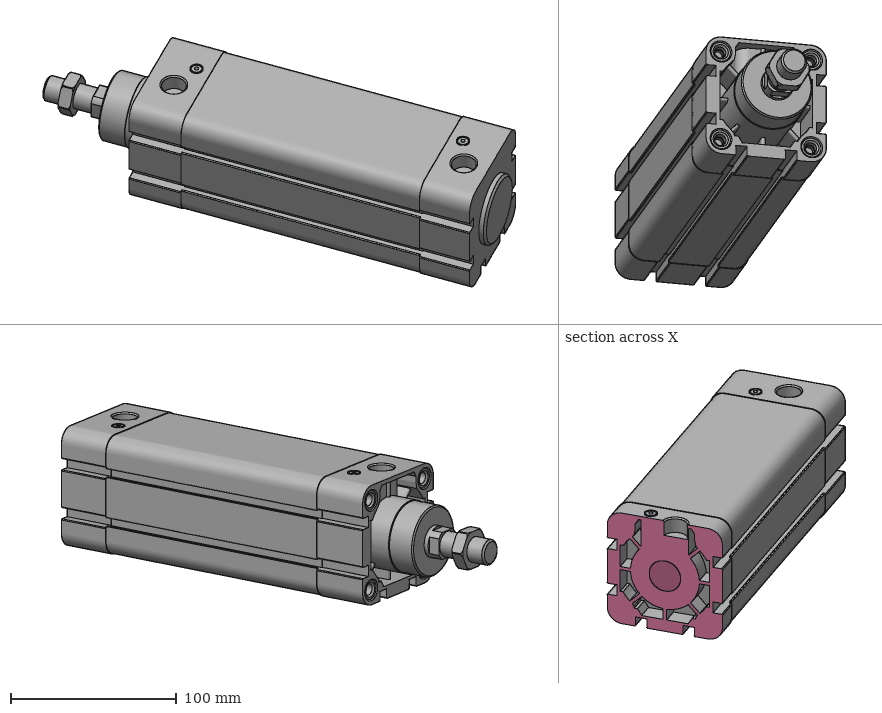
import cadquery as cq
import math


nut_start = 12.0
nut_thickness = 8.0
thread_end = 32.0
flats_end = 39.0
collar_start = 42.0
collar_step = 59.0
head_start = 68.2
head_end = 102.0
rear_cap_start = 257.0
rear_cap_end = 289.5
total_length = 294.0

cap_width = 75.0
cap_height = 75.3
cap_corner_radius = 9.7
tube_inset = 0.45
cap_top = cap_height / 2

collar_diameter = 45.0
collar_nose_diameter = 44.0
collar_chamfer = 1.0
rear_collar_chamfer = 1.5
step_chamfer = (collar_diameter - collar_nose_diameter) / 2

slot_offset = 15.44
cap_slot_width = 7.0
cap_slot_depth = 6.2
cap_slot_chamfer = 0.5
tube_slot_depth = 5.5
tube_slot_mouth = 5.5
tube_slot_lip = 1.8

recess_depth = 29.5
recess_side = 28.8
recess_side_half_length = 15.5
recess_bottom = -29.5
recess_top = 35.0
recess_top_half_width = 17.0
port_block_half_width = 15.5
port_block_start = 75.9
port_block_radius = 8.0
rib_thickness = 2.5
rib_start = 74.0
rib_count = 8

corner_screw_offset = 28.2
screw_seat_diameter = 13.5
screw_seat_floor_diameter = 12.0
screw_seat_depth = 0.74
screw_bore_mouth_diameter = 9.5
screw_bore_diameter = 7.0
screw_bore_depth = 6.0
screw_core_diameter = 6.0
screw_core_depth = 8.8

port_y = -7.0
head_port_x = 85.3
rear_port_x = 273.7
port_diameter = 15.0
port_chamfer = 1.0
port_depth = 10.0
cushion_screw_y = 11.5
head_cushion_screw_x = 92.5
rear_cushion_screw_x = 265.8
cushion_ring_diameter = 8.0
cushion_screw_diameter = 6.8
cushion_ring_depth = 0.5
cushion_socket_diameter = 2.5
cushion_socket_depth = 1.8

rod_diameter = 20.0
rod_flat_width = 17.0
thread_diameter = 16.0
thread_chamfer = 1.2
nut_flat_width = 23.2
nut_rounding_diameter = 26.5
nut_chamfer = 1.0


def yz_plane(x):
    """Sketch plane facing +X at the given X, with local axes Y and Z."""
    return cq.Workplane("YZ", origin=(x, 0, 0))


def rod_along_x(diameter, start, end):
    return yz_plane(start).circle(diameter / 2).extrude(end - start)


def rounded_bar(width, height, corner_radius, start, end):
    bar = yz_plane(start).rect(width, height).extrude(end - start)
    return bar.edges("|X").fillet(corner_radius)


def cut_slots(bar, profile, start, end):
    """Cut a slot profile, given as (across, depth) points, into the -Y, +Y and -Z sides of a bar.

    Depth 0 is on the nominal cap side.
    """
    sides = ((-90, cap_width / 2), (90, cap_width / 2), (180, cap_height / 2))
    for angle, face_distance in sides:
        for offset in (-slot_offset, slot_offset):
            points = [(offset + across, face_distance - depth) for across, depth in profile]
            slot = yz_plane(start).polyline(points).close().extrude(end - start)
            bar = bar.cut(slot.rotate((0, 0, 0), (1, 0, 0), angle))
    return bar


def cap_slot_profile():
    half = cap_slot_width / 2
    mouth = half + cap_slot_chamfer
    return [
        (-mouth, 0), (-half, cap_slot_chamfer), (-half, cap_slot_depth),
        (half, cap_slot_depth), (half, cap_slot_chamfer), (mouth, 0),
    ]


def tube_slot_profile():
    half = cap_slot_width / 2
    mouth = tube_slot_mouth / 2
    return [
        (-mouth, 0), (-mouth, tube_slot_lip), (-half, tube_slot_lip), (-half, tube_slot_depth),
        (half, tube_slot_depth), (half, tube_slot_lip), (mouth, tube_slot_lip), (mouth, 0),
    ]


def make_cap(start, end):
    cap = rounded_bar(cap_width, cap_height, cap_corner_radius, start, end)
    return cut_slots(cap, cap_slot_profile(), start, end)


def make_tube():
    width = cap_width - 2 * tube_inset
    height = cap_height - 2 * tube_inset
    radius = cap_corner_radius - tube_inset
    tube = rounded_bar(width, height, radius, head_end, rear_cap_start)
    return cut_slots(tube, tube_slot_profile(), head_end, rear_cap_start)


def head_recess():
    """Pocket that leaves a wall around the head and material around the corner screws."""
    right_side = [
        (15.0, recess_bottom), (17.5, -25.3), (19.7, -25.3), (20.0, -23.8), (24.7, -18.8),
        (27.0, -recess_side_half_length), (recess_side, -recess_side_half_length),
        (recess_side, recess_side_half_length), (27.0, recess_side_half_length), (24.7, 18.8), (20.0, 23.8),
        (19.0, 27.5), (19.0, 31.8), (recess_top_half_width, recess_top),
    ]
    left_side = [(-y, z) for y, z in reversed(right_side)]
    return yz_plane(head_start).polyline(right_side + left_side).close().extrude(recess_depth)


def port_block():
    """Block under the head's top wall that gives the air port its material."""
    floor = head_start + recess_depth
    block = (
        cq.Workplane("XY")
        .box(floor - port_block_start, 2 * port_block_half_width, recess_top, centered=(False, True, False))
        .translate((port_block_start, 0, 0))
    )
    return block.edges("|Z and <X").fillet(port_block_radius)


def radial_rib(angle):
    """Rib with a round front edge, running outward from the axis at an angle from +Y toward +Z."""
    radius = rib_thickness / 2
    floor = head_start + recess_depth
    rib = (
        cq.Workplane("XZ")
        .moveTo(floor, -radius)
        .lineTo(rib_start + radius, -radius)
        .threePointArc((rib_start, 0), (rib_start + radius, radius))
        .lineTo(floor, radius)
        .close()
        .extrude(-recess_top)
    )
    return rib.rotate((0, 0, 0), (1, 0, 0), angle)


def recess_ribs():
    """Evenly spaced ribs in the recess; the one pointing up crosses the front of the port block."""
    ribs = cq.Workplane("XY")
    for index in range(rib_count):
        ribs = ribs.union(radial_rib(index * 360 / rib_count))
    return ribs


def corner_screw_hole(y, z):
    seat_radius = screw_seat_diameter / 2
    seat_floor_radius = screw_seat_floor_diameter / 2
    mouth_radius = screw_bore_mouth_diameter / 2
    bore_radius = screw_bore_diameter / 2
    core_radius = screw_core_diameter / 2
    bore_chamfer = mouth_radius - bore_radius
    profile = [
        (0, 0), (0, seat_radius), (screw_seat_depth, seat_floor_radius),
        (screw_seat_depth, mouth_radius), (screw_seat_depth + bore_chamfer, bore_radius),
        (screw_bore_depth, bore_radius), (screw_bore_depth, core_radius),
        (screw_core_depth, core_radius), (screw_core_depth, 0),
    ]
    hole = cq.Workplane("XY").polyline(profile).close().revolve(360, (0, 0, 0), (1, 0, 0))
    return hole.translate((head_start, y, z))


def top_plane(x, y):
    return cq.Workplane("XY", origin=(x, y, cap_top))


def port_hole(x):
    bore = top_plane(x, port_y).circle(port_diameter / 2).extrude(-port_depth)
    mouth = cq.Workplane(
        cq.Solid.makeCone(
            port_diameter / 2, port_diameter / 2 + port_chamfer, port_chamfer,
            cq.Vector(x, port_y, cap_top - port_chamfer),
        )
    )
    return bore.union(mouth)


def cushion_screw_cut(x):
    ring = (
        top_plane(x, cushion_screw_y)
        .circle(cushion_ring_diameter / 2)
        .circle(cushion_screw_diameter / 2)
        .extrude(-cushion_ring_depth)
    )
    socket = cq.Workplane(
        cq.Solid.makeCone(
            0, cushion_socket_diameter / 2, cushion_socket_depth,
            cq.Vector(x, cushion_screw_y, cap_top - cushion_socket_depth),
        )
    )
    return ring.union(socket)


def front_collar():
    """Stepped collar around the rod, with chamfers on its nose and on its step."""
    nose_radius = collar_nose_diameter / 2
    radius = collar_diameter / 2
    profile = [
        (collar_start, 0), (collar_start, nose_radius - collar_chamfer),
        (collar_start + collar_chamfer, nose_radius), (collar_step, nose_radius),
        (collar_step + step_chamfer, radius), (head_end, radius), (head_end, 0),
    ]
    return cq.Workplane("XY").polyline(profile).close().revolve(360, (0, 0, 0), (1, 0, 0))


def make_head():
    recess = head_recess()
    head = make_cap(head_start, head_end).cut(recess)
    ribs = recess_ribs().intersect(recess)
    head = head.union(port_block()).union(ribs)
    for y in (-corner_screw_offset, corner_screw_offset):
        for z in (-corner_screw_offset, corner_screw_offset):
            head = head.cut(corner_screw_hole(y, z))
    return head.union(front_collar())


def make_rear_cap():
    cap = make_cap(rear_cap_start, rear_cap_end)
    collar = rod_along_x(collar_diameter, rear_cap_start, total_length)
    return cap.union(collar.faces(">X").chamfer(rear_collar_chamfer))


def make_housing():
    housing = make_head().union(make_tube()).union(make_rear_cap())
    for x in (head_port_x, rear_port_x):
        housing = housing.cut(port_hole(x))
    for x in (head_cushion_screw_x, rear_cushion_screw_x):
        housing = housing.cut(cushion_screw_cut(x))
    return housing.cut(rod_along_x(rod_diameter, collar_start, head_end))


def make_piston_rod():
    shank = rod_along_x(rod_diameter, thread_end, head_end)
    flats = yz_plane(thread_end).rect(rod_flat_width, rod_flat_width).extrude(flats_end - thread_end)
    flats = flats.union(rod_along_x(rod_diameter, flats_end, head_end))
    thread = rod_along_x(thread_diameter, 0, thread_end).faces("<X").chamfer(thread_chamfer)
    nut_corner_diameter = nut_flat_width / math.cos(math.radians(30))
    nut = yz_plane(nut_start).polygon(6, nut_corner_diameter).extrude(nut_thickness)
    nut_blank = rod_along_x(nut_rounding_diameter, nut_start, nut_start + nut_thickness)
    nut = nut.intersect(nut_blank.faces("<X or >X").chamfer(nut_chamfer))
    return shank.intersect(flats).union(thread).union(nut)


housing = make_housing()
piston_rod = make_piston_rod()

result = cq.Compound.makeCompound([housing.solids().val(), piston_rod.solids().val()])